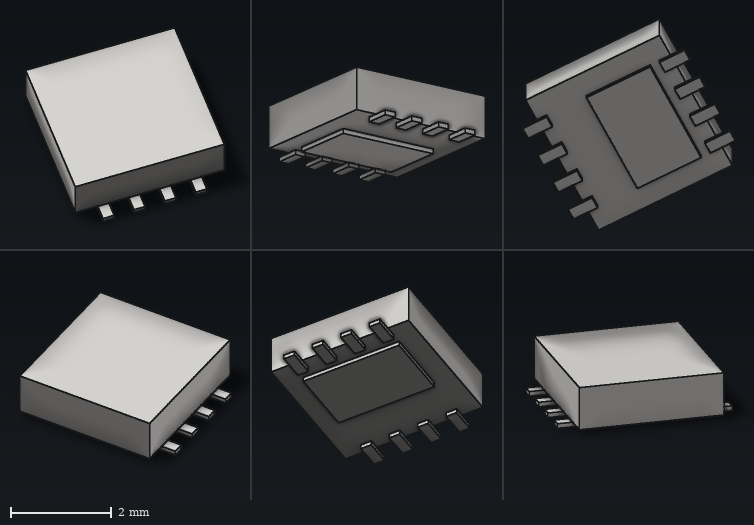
import cadquery as cq

overall_length = 3.64
overall_height = 1.0

housing_length = 3.01
housing_width = 3.15
metal_thickness = 0.102
housing_height = overall_height - metal_thickness

leads_per_side = 4
lead_pitch = 0.65
lead_width = 0.24
left_lead_length = 0.542
right_lead_length = 0.565

pad_length = 1.43
pad_width = (leads_per_side - 1) * lead_pitch + lead_width
pad_center_x = 0.33


def make_housing():
    """Plain block resting on the leads and the pad."""
    return (
        cq.Workplane("XY")
        .workplane(offset=metal_thickness)
        .box(housing_length, housing_width, housing_height, centered=(True, True, False))
    )


def make_lead(length, center_x, center_y):
    """Flat lead lying on the seating plane."""
    return (
        cq.Workplane("XY")
        .center(center_x, center_y)
        .box(length, lead_width, metal_thickness, centered=(True, True, False))
    )


def make_pad():
    """Flat pad spanning the same Y range as the lead rows."""
    return (
        cq.Workplane("XY")
        .center(pad_center_x, 0)
        .box(pad_length, pad_width, metal_thickness, centered=(True, True, False))
    )


housing = make_housing()
pad = make_pad()

left_lead_x = (left_lead_length - overall_length) / 2
right_lead_x = (overall_length - right_lead_length) / 2
leads = []
for index in range(leads_per_side):
    lead_y = (index - (leads_per_side - 1) / 2) * lead_pitch
    leads.append(make_lead(left_lead_length, left_lead_x, lead_y).val())
    leads.append(make_lead(right_lead_length, right_lead_x, lead_y).val())

result = cq.Compound.makeCompound([housing.val(), pad.val(), *leads])